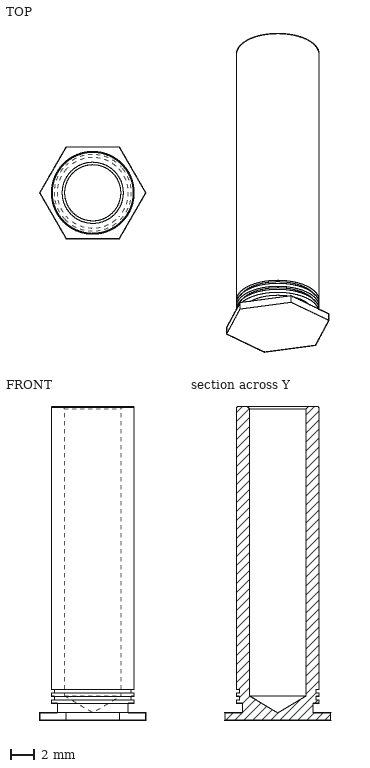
import cadquery as cq
import math

total_height = 27.0
head_across_flats = 7.9
head_thickness = 0.65

barrel_diameter = 7.13
rim_chamfer = 0.08
neck_diameter = 6.1
neck_height = 0.8
groove_diameter = 6.6
groove_width = 0.3
land_width = 0.3
groove_count = 2

bore_diameter = 4.83
mouth_diameter = 5.25
head_floor_thickness = 0.65
drill_tip_angle = 118.0

neck_top = head_thickness + neck_height
mouth_depth = (mouth_diameter - bore_diameter) / 2
tip_height = bore_diameter / 2 / math.tan(math.radians(drill_tip_angle / 2))


def cylinder(diameter, bottom, top):
    """Upright cylinder on the Z axis between two heights."""
    return cq.Workplane("XY").workplane(offset=bottom).circle(diameter / 2).extrude(top - bottom)


def make_head():
    """Hexagonal head with corners on the X axis and flats facing Y."""
    across_corners = head_across_flats / math.cos(math.pi / 6)
    return cq.Workplane("XY").polygon(6, across_corners).extrude(head_thickness)


def make_groove(index):
    """Ring to remove from the barrel, counted up from the neck."""
    bottom = neck_top + land_width + index * (groove_width + land_width)
    top = bottom + groove_width
    return cylinder(barrel_diameter, bottom, top).cut(cylinder(groove_diameter, bottom, top))


def make_bore():
    """Bore, drill tip and countersink as one revolved profile."""
    tip_bottom = head_floor_thickness
    profile = [
        (0, tip_bottom),
        (bore_diameter / 2, tip_bottom + tip_height),
        (bore_diameter / 2, total_height - mouth_depth),
        (mouth_diameter / 2, total_height),
        (0, total_height),
    ]
    return cq.Workplane("XZ").polyline(profile).close().revolve(360, (0, 0, 0), (0, 1, 0))


body = make_head()
body = body.union(cylinder(neck_diameter, head_thickness, neck_top))
barrel = cylinder(barrel_diameter, neck_top, total_height).faces(">Z").chamfer(rim_chamfer)
body = body.union(barrel)
for groove_index in range(groove_count):
    body = body.cut(make_groove(groove_index))

result = body.cut(make_bore())